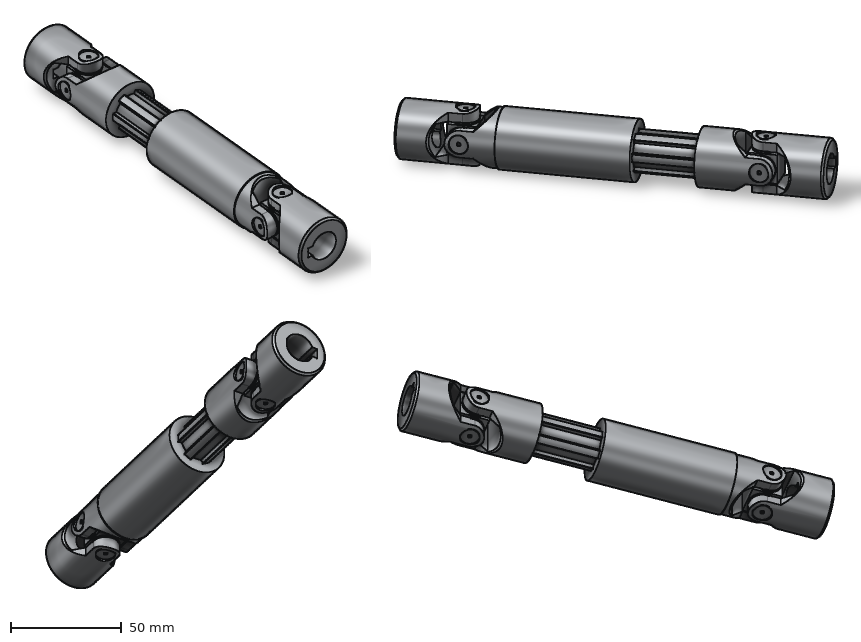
import cadquery as cq
LENGTH = 200.0
JOINT_DIST = 30.0
SHAFT_YOKE_END = 60.0
SLEEVE_START = 90.0
SLEEVE_END = 153.0
FIRST_JOINT = JOINT_DIST
SECOND_JOINT = LENGTH - JOINT_DIST

YOKE_D = 28.0
EAR_WIDTH = 13.0
EAR_GAP = 16.0
CLEARANCE_D = 28.0
FLANK_START = 6.5
FLANK_END = 15.0

CROSS_CUBE = 14.0
PIN_D = 9.0
COLLAR_D = 12.5
PIN_SPAN = 25.8
CENTRE_HOLE_D = 1.8
CENTRE_HOLE_DEPTH = 1.0

BORE_D = 14.0
KEYWAY_WIDTH = 5.0
KEYWAY_TOP = 9.2
CHAMFER = 1.0

SLEEVE_D = 29.0
SPLINE_ROOT_D = 16.2
SPLINE_TIP_D = 20.0
TOOTH_WIDTH = 4.0
TOOTH_CHAMFER = 0.5
TOOTH_COUNT = 6
SPLINE_END = 140.0


def x_cylinder(diameter, start, end):
    """Cylinder on the X axis from start to end."""
    return cq.Workplane("YZ", origin=(start, 0, 0)).circle(diameter / 2).extrude(end - start)


def z_cylinder(diameter, height):
    """Cylinder on the Z axis, centred on the origin."""
    return cq.Workplane("XY").circle(diameter / 2).extrude(height / 2, both=True)


def fork_blank(back):
    """Fork with its joint centre at the origin, ears along Z and its body running to x = -back."""
    half_yoke = YOKE_D / 2
    half_ear = EAR_WIDTH / 2
    outline = (
        cq.Workplane("XY")
        .moveTo(-back, half_yoke)
        .lineTo(-FLANK_END, half_yoke)
        .lineTo(-FLANK_START, half_ear)
        .lineTo(0, half_ear)
        .threePointArc((half_ear, 0), (0, -half_ear))
        .lineTo(-FLANK_START, -half_ear)
        .lineTo(-FLANK_END, -half_yoke)
        .lineTo(-back, -half_yoke)
        .close()
        .extrude(half_yoke, both=True)
    )
    body = x_cylinder(YOKE_D, -back, EAR_WIDTH).intersect(outline)
    opening = cq.Workplane("XZ").circle(CLEARANCE_D / 2).extrude(YOKE_D, both=True)
    gap = cq.Workplane("XY").box(CLEARANCE_D, 2 * YOKE_D, EAR_GAP)
    pin_hole = z_cylinder(PIN_D, 2 * YOKE_D)
    return body.cut(opening.intersect(gap)).cut(pin_hole)


def end_yoke():
    """Keyed end yoke at the first joint, ears along Z, keyway towards -Y."""
    yoke = fork_blank(JOINT_DIST).faces("<X").chamfer(CHAMFER).translate((FIRST_JOINT, 0, 0))
    bore = x_cylinder(BORE_D, 0, FIRST_JOINT)
    keyway = cq.Workplane("XY").box(
        FIRST_JOINT, KEYWAY_TOP, KEYWAY_WIDTH, centered=(False, False, True)
    ).translate((0, -KEYWAY_TOP, 0))
    return yoke.cut(bore).cut(keyway)


def cross(joint):
    """Cross of a joint: a cube with four pins, along Y and Z, each centre-drilled at its end."""
    body = cq.Workplane("XY").box(CROSS_CUBE, CROSS_CUBE, CROSS_CUBE)
    pins = z_cylinder(PIN_D, PIN_SPAN).union(z_cylinder(COLLAR_D, EAR_GAP))
    hole = z_cylinder(CENTRE_HOLE_D, PIN_SPAN).cut(
        z_cylinder(CENTRE_HOLE_D, PIN_SPAN - 2 * CENTRE_HOLE_DEPTH)
    )
    for angle in (0, 90):
        body = body.union(pins.rotate((0, 0, 0), (1, 0, 0), angle))
    for angle in (0, 90):
        body = body.cut(hole.rotate((0, 0, 0), (1, 0, 0), angle))
    return body.translate((joint, 0, 0))


def spline(start, end):
    """Spline bar whose parallel-sided teeth include one pointing to +Y."""
    length = end - start
    bar = x_cylinder(SPLINE_ROOT_D, start, end)
    tooth = (
        cq.Workplane("XY")
        .box(length, SPLINE_TIP_D / 2, TOOTH_WIDTH, centered=(False, False, True))
        .faces(">Y").edges("|X").chamfer(TOOTH_CHAMFER)
        .translate((start, 0, 0))
    )
    for i in range(TOOTH_COUNT):
        bar = bar.union(tooth.rotate((0, 0, 0), (1, 0, 0), i * 360 / TOOTH_COUNT))
    return bar.intersect(x_cylinder(SPLINE_TIP_D, start, end))


def cross_fork(back):
    """Fork blank turned so that its ears lie along Y."""
    return fork_blank(back).rotate((0, 0, 0), (1, 0, 0), 90)


def shaft_yoke():
    """Yoke of the first joint, facing -X, with the spline shaft on its back."""
    fork = cross_fork(SHAFT_YOKE_END - FIRST_JOINT).rotate((0, 0, 0), (0, 0, 1), 180)
    return fork.translate((FIRST_JOINT, 0, 0)).union(spline(SHAFT_YOKE_END, SPLINE_END))


def sleeve_yoke():
    """Yoke of the second joint, facing +X, with the splined sleeve on its back."""
    fork = cross_fork(SECOND_JOINT - SLEEVE_END).translate((SECOND_JOINT, 0, 0))
    sleeve = x_cylinder(SLEEVE_D, SLEEVE_START, SLEEVE_END)
    return fork.union(sleeve).cut(spline(SLEEVE_START, SPLINE_END))


first_end_yoke = end_yoke()
middle = (LENGTH / 2, 0, 0)
second_end_yoke = end_yoke().rotate(middle, (LENGTH / 2, 1, 0), 180)
crosses = [cross(joint) for joint in (FIRST_JOINT, SECOND_JOINT)]

result = cq.Compound.makeCompound([
    first_end_yoke.val(),
    second_end_yoke.val(),
    *[body.val() for body in crosses],
    shaft_yoke().val(),
    sleeve_yoke().val(),
])